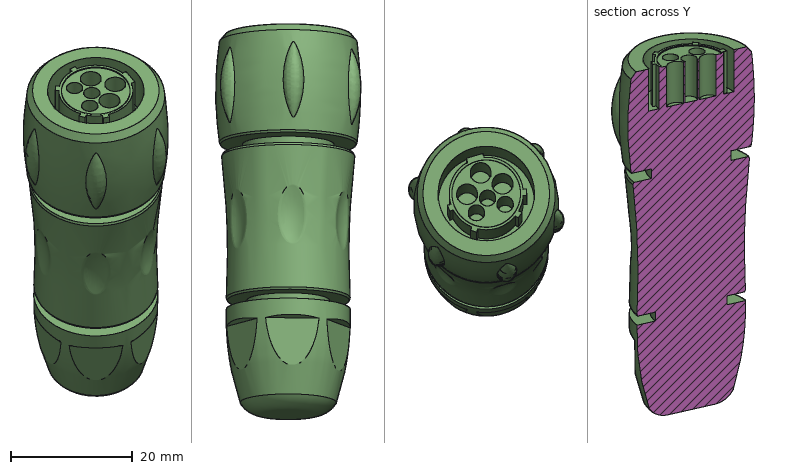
import cadquery as cq
import math

Z_ROUND = 1.95
Z_CAP_TOP = 17.55
Z_SLEEVE_BOTTOM = 19.1
Z_SLEEVE_TOP = 43.45
Z_NUT_BOTTOM = 45.1
Z_TOP = 63.35

CAP_R = 10.2
CAP_END_R = 7.9
CAP_FACE_R = 4.45
CAP_BULGE = 0.7
END_BULGE = 0.52
FLAT_DISTANCE = 9.2
FLAT_TOP_Z = 14.45
LEDGE_SLOPE = 0.4
CUTTER_MARGIN = 0.65

LOWER_NECK_R = 6.8
SLEEVE_BOTTOM_R = 10.2
SLEEVE_WAIST_R = 10.0
SLEEVE_WAIST_Z = 27.55
SLEEVE_TOP_R = 10.95
DIMPLE_Z = 31.05
DIMPLE_DEPTH = 0.6
DIMPLE_CROSS_R = 6.0
DIMPLE_ARC_R = 16.6
DIMPLE_EDGE_FILLET = 0.8

UPPER_NECK_R = 7.55
NUT_END_R = 11.35
NUT_WAIST_R = 11.9
NUT_TOP_CHAMFER = 0.95
NUT_TOP_CHAMFER_HEIGHT = 1.15
EDGE_CHAMFER = 0.2
EDGE_CHAMFER_HEIGHT = 0.4
NUT_LOW_Z = Z_NUT_BOTTOM + EDGE_CHAMFER_HEIGHT
NUT_HIGH_Z = Z_TOP - NUT_TOP_CHAMFER_HEIGHT
NUT_MIDDLE_Z = (NUT_LOW_Z + NUT_HIGH_Z) / 2
BUMP_SPAN = 26.15
BUMP_PEAK_R = BUMP_SPAN / 2
BUMP_CROSS_R = 1.8
BUMP_ARC_R = 14.05

SOCKET_R = 7.9
SOCKET_DEPTH = 7.6
INSERT_R = 6.1
INSERT_FACE_R = 5.65
INSERT_FACE_RECESS = 0.2
MAIN_KEY_WIDTH = 2.85
MAIN_KEY_R = 6.6
SMALL_KEY_WIDTH = 1.1
SMALL_KEY_R = 6.65
SMALL_KEY_ANGLES = [185, 235, 310, 345]

POWER_HOLE_R = 1.7
POWER_HOLES = [(0.1, 3.6), (-3.05, 0.8), (3.05, 0.8)]
SIGNAL_HOLE_R = 1.3
SIGNAL_HOLES = [(0, -0.75), (-2.5, -2.6), (2.5, -2.6)]
HOLE_DEPTH = 7.6

GRIP_COUNT = 6
GRIP_ANGLES = [i * 360 / GRIP_COUNT for i in range(GRIP_COUNT)]


def bowed_midpoint(start, end, bulge):
    """Midpoint of a chord in the XZ plane, moved outward square to the chord."""
    dx = end[0] - start[0]
    dz = end[1] - start[1]
    length = math.hypot(dx, dz)
    mid_x = (start[0] + end[0]) / 2
    mid_z = (start[1] + end[1]) / 2
    return (mid_x + bulge * dz / length, mid_z - bulge * dx / length)


def around_axis(tool):
    """Union of a tool on the +Y side repeated at every grip position."""
    ring = cq.Workplane("XY")
    for angle in GRIP_ANGLES:
        ring = ring.add(tool.rotate((0, 0, 0), (0, 0, 1), angle))
    return ring.combine()


def spindle(axis_y, centre_z, cross_radius, arc_radius):
    """Pointed solid of revolution: an arc spun about its own vertical chord."""
    half_length = math.sqrt(2 * arc_radius * cross_radius - cross_radius**2)
    return (
        cq.Workplane("XZ", origin=(0, axis_y, centre_z))
        .moveTo(0, -half_length)
        .threePointArc((cross_radius, 0), (0, half_length))
        .close()
        .revolve(360, (0, 0, 0), (0, 1, 0))
    )


def make_body():
    """Cap, sleeve and nut with their necks as one turned profile."""
    face_edge = (CAP_FACE_R, 0)
    cap_end = (CAP_END_R, Z_ROUND)
    cap_top = (CAP_R, Z_CAP_TOP)
    sleeve_low = (SLEEVE_BOTTOM_R, Z_SLEEVE_BOTTOM + EDGE_CHAMFER_HEIGHT)
    sleeve_high = (SLEEVE_TOP_R, Z_SLEEVE_TOP - EDGE_CHAMFER_HEIGHT)
    nut_low = (NUT_END_R, NUT_LOW_Z)
    nut_high = (NUT_END_R, NUT_HIGH_Z)
    profile = (
        cq.Workplane("XZ")
        .lineTo(*face_edge)
        .threePointArc(bowed_midpoint(face_edge, cap_end, END_BULGE), cap_end)
        .threePointArc(bowed_midpoint(cap_end, cap_top, CAP_BULGE), cap_top)
        .lineTo(LOWER_NECK_R, Z_CAP_TOP)
        .lineTo(LOWER_NECK_R, Z_SLEEVE_BOTTOM)
        .lineTo(SLEEVE_BOTTOM_R - EDGE_CHAMFER, Z_SLEEVE_BOTTOM)
        .lineTo(*sleeve_low)
        .threePointArc((SLEEVE_WAIST_R, SLEEVE_WAIST_Z), sleeve_high)
        .lineTo(SLEEVE_TOP_R - EDGE_CHAMFER, Z_SLEEVE_TOP)
        .lineTo(UPPER_NECK_R, Z_SLEEVE_TOP)
        .lineTo(UPPER_NECK_R, Z_NUT_BOTTOM)
        .lineTo(NUT_END_R - EDGE_CHAMFER, Z_NUT_BOTTOM)
        .lineTo(*nut_low)
        .threePointArc((NUT_WAIST_R, NUT_MIDDLE_Z), nut_high)
        .lineTo(NUT_END_R - NUT_TOP_CHAMFER, Z_TOP)
        .lineTo(0, Z_TOP)
        .close()
    )
    return profile.revolve(360, (0, 0, 0), (0, 1, 0))


def make_flats():
    """Cutters for the cap flats, each topped by a ledge that rises outward."""
    outer = CAP_R + CUTTER_MARGIN
    ledge_outer_z = FLAT_TOP_Z + LEDGE_SLOPE * (outer - FLAT_DISTANCE)
    cutter = (
        cq.Workplane("YZ")
        .moveTo(FLAT_DISTANCE, 0)
        .lineTo(outer, 0)
        .lineTo(outer, ledge_outer_z)
        .lineTo(FLAT_DISTANCE, FLAT_TOP_Z)
        .close()
        .extrude(CAP_R / 2, both=True)
    )
    return around_axis(cutter)


def make_dimples():
    """Spindles beside the sleeve that scoop shallow ovals out of it."""
    axis_y = SLEEVE_WAIST_R - DIMPLE_DEPTH + DIMPLE_CROSS_R
    return around_axis(spindle(axis_y, DIMPLE_Z, DIMPLE_CROSS_R, DIMPLE_ARC_R))


def make_bumps():
    """Spindles half sunk into the nut."""
    axis_y = BUMP_PEAK_R - BUMP_CROSS_R
    return around_axis(spindle(axis_y, NUT_MIDDLE_Z, BUMP_CROSS_R, BUMP_ARC_R))


def key(width, radius, angle):
    """Straight key from the axis out to a radius, flush with the mating face."""
    block = cq.Workplane("XY").box(radius, width, SOCKET_DEPTH, centered=(False, True, False))
    return block.rotate((0, 0, 0), (0, 0, 1), angle)


def make_socket():
    """Annular gap with the keyed insert left standing in it."""
    insert = cq.Workplane("XY").circle(INSERT_R).extrude(SOCKET_DEPTH)
    insert = insert.union(key(MAIN_KEY_WIDTH, MAIN_KEY_R, 90))
    for angle in SMALL_KEY_ANGLES:
        insert = insert.union(key(SMALL_KEY_WIDTH, SMALL_KEY_R, angle))
    gap = cq.Workplane("XY").circle(SOCKET_R).extrude(SOCKET_DEPTH).cut(insert)
    return gap.translate((0, 0, Z_TOP - SOCKET_DEPTH))


def top_holes(points, radius, depth):
    """Cylinders sunk from the mating face."""
    plane = cq.Workplane("XY", origin=(0, 0, Z_TOP))
    return plane.pushPoints(points).circle(radius).extrude(-depth)


body = make_body().cut(make_dimples())
body = body.edges("%BSPLINE").fillet(DIMPLE_EDGE_FILLET)
body = body.cut(make_flats())
body = body.union(make_bumps())
body = body.cut(make_socket())
body = body.cut(top_holes([(0, 0)], INSERT_FACE_R, INSERT_FACE_RECESS))
body = body.cut(top_holes(POWER_HOLES, POWER_HOLE_R, HOLE_DEPTH))
body = body.cut(top_holes(SIGNAL_HOLES, SIGNAL_HOLE_R, HOLE_DEPTH))
result = body